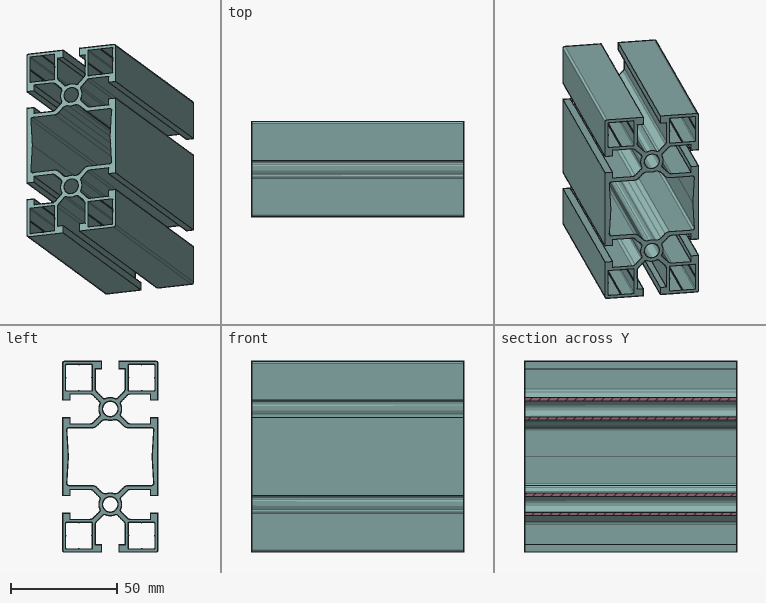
import cadquery as cq
import math


length = 100.0
module = 45.0
half_module = module / 2
height = 2 * module
outer_corner_radius = 1.0

bore_diameter = 7.2
ring_radius = 5.4

slot_half_opening = 4.1
slot_half_width = 7.0
lip_thickness = 3.6
slot_corner_radius = 2.0
diagonal_offset = 1.65
ring_blend_radius = 1.0

wall = 1.5
cavity_inner = slot_half_width + wall
cavity_size = half_module - wall - cavity_inner
cavity_centre = cavity_inner + cavity_size / 2
cavity_corner_radius = 0.4
ridge_width = 0.5
ridge_height = 0.25

chamber_web = 1.9
chamber_end_wall = 2.0
chamber_mid_wall = 2.8
chamber_corner_radius = 1.0
chamber_blend_radius = 3.0

axis_x = (1, 0, 0)
core_heights = (-half_module, half_module)

foot_y = (math.sqrt(2 * ring_radius**2 - diagonal_offset**2) - diagonal_offset) / 2
web_foot = (foot_y, foot_y + diagonal_offset)


def section():
    """Workplane on the -X end face; local x is Y and local y is Z."""
    return cq.Workplane("YZ", origin=(-length / 2, 0, 0))


def fillet_at(solid, points, radius):
    """Round the lengthwise edges of a solid that pass through the given (y, z) points."""
    half_box = 0.05
    edges = cq.Workplane()
    for y, z in points:
        low = (-length, y - half_box, z - half_box)
        high = (length, y + half_box, z + half_box)
        edges = edges.add(solid.edges("|X").edges(cq.selectors.BoxSelector(low, high)).vals())
    return solid.newObject([solid.val().fillet(radius, edges.vals())])


def make_slot():
    """Cutter for one upward-opening T-slot, with the bore axis at the origin."""
    lip_inner = half_module - lip_thickness
    web_start = slot_half_width + diagonal_offset
    slot = (
        section()
        .moveTo(*web_foot)
        .lineTo(slot_half_width, web_start)
        .lineTo(slot_half_width, lip_inner)
        .lineTo(slot_half_opening, lip_inner)
        .lineTo(slot_half_opening, half_module)
        .lineTo(-slot_half_opening, half_module)
        .lineTo(-slot_half_opening, lip_inner)
        .lineTo(-slot_half_width, lip_inner)
        .lineTo(-slot_half_width, web_start)
        .lineTo(-web_foot[0], web_foot[1])
        .threePointArc((0, ring_radius), web_foot)
        .close()
        .extrude(length)
    )
    corners = [(side * slot_half_width, web_start) for side in (-1, 1)]
    feet = [(side * web_foot[0], web_foot[1]) for side in (-1, 1)]
    slot = fillet_at(slot, corners, slot_corner_radius)
    return fillet_at(slot, feet, ring_blend_radius)


def make_corner_cavity():
    """Cutter for one square cavity centred on the origin, with a V ridge left on each wall."""
    half_size = cavity_size / 2
    cavity = section().rect(cavity_size, cavity_size).extrude(length)
    cavity = cavity.edges("|X").fillet(cavity_corner_radius)
    ridge = (
        section()
        .moveTo(-ridge_width / 2, half_size)
        .lineTo(ridge_width / 2, half_size)
        .lineTo(0, half_size - ridge_height)
        .close()
        .extrude(length)
    )
    for angle in (0, 90, 180, 270):
        cavity = cavity.cut(ridge.rotate((0, 0, 0), axis_x, angle))
    return cavity


def make_chamber():
    """Cutter for the middle chamber, whose side walls thicken towards mid-height."""
    web_edge = slot_half_width + chamber_web
    floor = half_module - web_edge
    floor_corner = (web_edge - diagonal_offset, floor)
    dome_corner = (web_foot[0], half_module - web_foot[1])
    end_corner = (half_module - chamber_end_wall, floor)
    mid_corner = (half_module - chamber_mid_wall, 0)

    chamber = (
        section()
        .moveTo(-dome_corner[0], dome_corner[1])
        .threePointArc((0, half_module - ring_radius), dome_corner)
        .lineTo(*floor_corner)
        .lineTo(*end_corner)
        .lineTo(*mid_corner)
        .lineTo(-mid_corner[0], 0)
        .lineTo(-end_corner[0], end_corner[1])
        .lineTo(-floor_corner[0], floor_corner[1])
        .close()
        .extrude(length)
    )
    chamber = chamber.union(chamber.mirror("XY"))

    def four_way(point):
        return [(sy * point[0], sz * point[1]) for sy in (-1, 1) for sz in (-1, 1)]

    chamber = fillet_at(chamber, four_way(end_corner), chamber_corner_radius)
    return fillet_at(chamber, four_way(dome_corner) + four_way(floor_corner), chamber_blend_radius)


result = section().rect(module, height).extrude(length)
result = result.edges("|X").fillet(outer_corner_radius)

bores = section().pushPoints([(0, z) for z in core_heights]).circle(bore_diameter / 2)
result = result.cut(bores.extrude(length))

slot = make_slot()
for z in core_heights:
    end_angle = 0 if z > 0 else 180
    for angle in (90, 270, end_angle):
        result = result.cut(slot.rotate((0, 0, 0), axis_x, angle).translate((0, 0, z)))

corner_cavity = make_corner_cavity()
for z in core_heights:
    outward = math.copysign(cavity_centre, z)
    for side in (-1, 1):
        result = result.cut(corner_cavity.translate((0, side * cavity_centre, z + outward)))

result = result.cut(make_chamber())